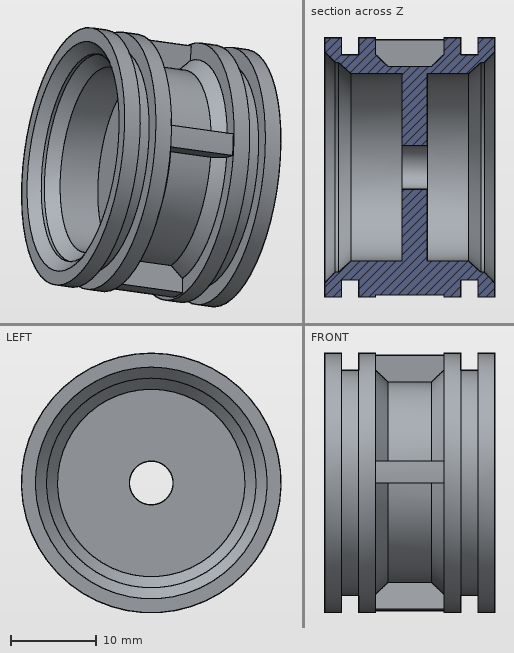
import cadquery as cq

width = 20.0
rim_radius = 15.25

flange_width = 2.0
groove_width = 2.0
groove_radius = 13.25
rib_radius = 15.0
channel_floor_radius = 11.85
channel_floor_width = 5.1
channel_shoulder_radius = 13.25
rib_count = 4
rib_angle = 10.0

recess_mouth_radius = 13.6
recess_land_radius = 12.3
recess_floor_radius = 11.0
mouth_taper_depth = 1.25
land_depth = 1.65
inner_taper_depth = 3.1
main_recess_depth = 9.08
web_thickness = 3.0
axle_hole_radius = 2.55

half_width = width / 2
groove_outer_x = half_width - flange_width
groove_inner_x = groove_outer_x - groove_width
channel_half_width = groove_inner_x - flange_width
far_recess_depth = width - main_recess_depth - web_thickness
rib_pitch = 360.0 / rib_count


def revolve_profile(points, angle=360.0):
    """Turn a closed (x, radius) outline about the X axis, starting at +Z."""
    outline = cq.Workplane("XZ").polyline(points).close()
    return outline.revolve(angle, (0, 0, 0), (1, 0, 0))


def mirrored(points):
    """Complete an outline with its reflection in the mid-plane."""
    return points + [(-x, radius) for x, radius in reversed(points)]


def make_wheel_blank():
    """Solid wheel with grooved rims and the full rib diameter between them."""
    return revolve_profile(mirrored([
        (-half_width, 0),
        (-half_width, rim_radius),
        (-groove_outer_x, rim_radius),
        (-groove_outer_x, groove_radius),
        (-groove_inner_x, groove_radius),
        (-groove_inner_x, rim_radius),
        (-channel_half_width, rim_radius),
        (-channel_half_width, rib_radius),
    ]))


def make_recess(depth):
    """Cutter for the tapered recess in the -X end."""
    return revolve_profile([
        (-half_width, 0),
        (-half_width, recess_mouth_radius),
        (-half_width + mouth_taper_depth, recess_land_radius),
        (-half_width + land_depth, recess_land_radius),
        (-half_width + inner_taper_depth, recess_floor_radius),
        (-half_width + depth, recess_floor_radius),
        (-half_width + depth, 0),
    ])


def make_channel_pocket():
    """Cutter for one pocket of the channel, filling the angle between two ribs."""
    pocket_angle = rib_pitch - rib_angle
    return revolve_profile(mirrored([
        (-channel_half_width, rim_radius),
        (-channel_half_width, channel_shoulder_radius),
        (-channel_floor_width / 2, channel_floor_radius),
    ]), pocket_angle)


def make_axle_hole():
    """Cutter for the axle hole through the web."""
    return cq.Workplane("YZ").circle(axle_hole_radius).extrude(half_width, both=True)


wheel = make_wheel_blank()

wheel = wheel.cut(make_recess(main_recess_depth))
wheel = wheel.cut(make_recess(far_recess_depth).mirror("YZ"))

pocket = make_channel_pocket()
for index in range(rib_count):
    wheel = wheel.cut(pocket.rotate((0, 0, 0), (1, 0, 0), index * rib_pitch))

result = wheel.cut(make_axle_hole())